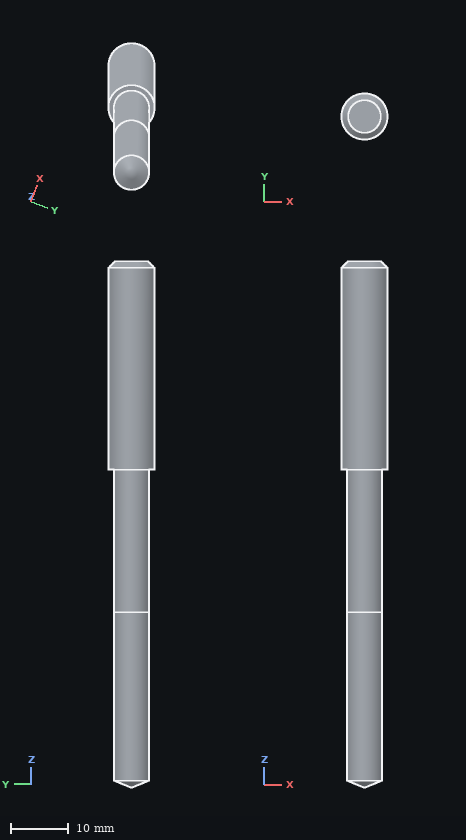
import cadquery as cq

overall_length = 91.0
shank_diameter = 8.0
shank_length = 36.0
shank_chamfer = 1.2
drill_diameter = 6.1
point_height = 1.3
drill_head_length = 30.3

shank_bottom = overall_length - shank_length
neck_length = shank_bottom - drill_head_length
drill_radius = drill_diameter / 2


def make_holder():
    """Chamfered shank with the plain neck that carries the drill head."""
    neck = cq.Workplane("XY").workplane(offset=drill_head_length).circle(drill_radius).extrude(neck_length)
    shank = (
        cq.Workplane("XY")
        .workplane(offset=shank_bottom)
        .circle(shank_diameter / 2)
        .extrude(shank_length)
        .faces(">Z")
        .chamfer(shank_chamfer)
    )
    return shank.union(neck)


def make_drill_head():
    """Cylindrical drill head with a conical point, revolved about Z."""
    return (
        cq.Workplane("XZ")
        .moveTo(0, 0)
        .lineTo(drill_radius, point_height)
        .lineTo(drill_radius, drill_head_length)
        .lineTo(0, drill_head_length)
        .close()
        .revolve(360, (0, 0, 0), (0, 1, 0))
    )


holder = make_holder()
drill_head = make_drill_head()

result = cq.Compound.makeCompound([holder.val(), drill_head.val()])